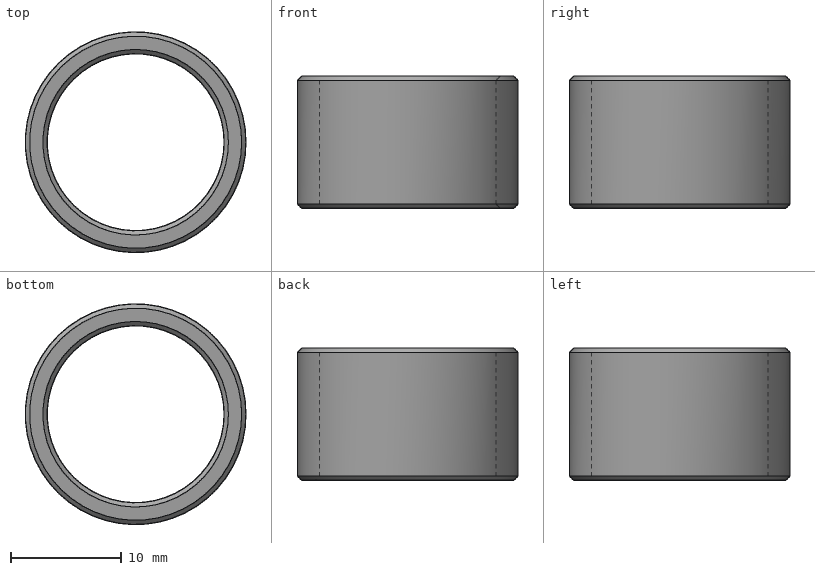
import cadquery as cq

outer_diameter = 20.0
bore_diameter = 16.0
length = 12.0
edge_chamfer = 0.4

sleeve = (
    cq.Workplane("XY")
    .circle(outer_diameter / 2)
    .circle(bore_diameter / 2)
    .extrude(length)
)

result = sleeve.faces("|Z").edges().chamfer(edge_chamfer)